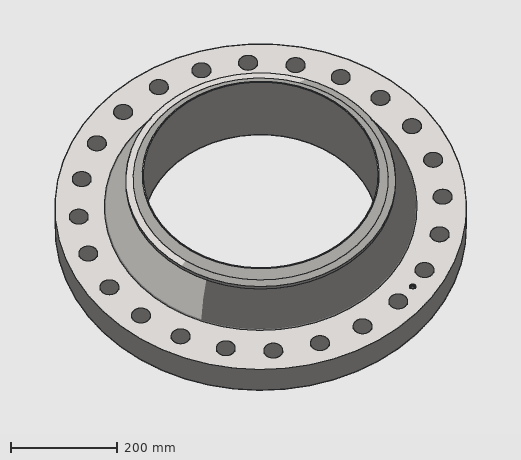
import cadquery as cq
import math

flange_diameter = 774.5
flange_thickness = 64.0
overall_height = 162.0

bore_diameter = 441.5

hub_base_diameter = 588.5
hub_foot_chamfer = 1.5
collar_diameter = 508.0
collar_height = 8.0

land_width = 2.0
bevel_foot_diameter = 480.0
bevel_height = 12.5
shoulder_rise = 2.0

bolt_count = 24
bolt_circle_diameter = 686.0
bolt_hole_diameter = 36.0

step_hole_diameter = 12.0
step_hole_depth = 3.0
pilot_diameter = 6.0
pilot_depth = 23.0

bolt_pitch_angle = 360.0 / bolt_count
bolt_circle_radius = bolt_circle_diameter / 2
bevel_foot_z = overall_height - bevel_height
collar_top_z = bevel_foot_z - shoulder_rise
collar_base_z = collar_top_z - collar_height


def flange_body():
    """Revolve the wall section of the flange, hub and weld bevel around Z."""
    bore_radius = bore_diameter / 2
    flange_radius = flange_diameter / 2
    hub_base_radius = hub_base_diameter / 2
    collar_radius = collar_diameter / 2
    section = [
        (bore_radius, 0),
        (flange_radius, 0),
        (flange_radius, flange_thickness),
        (hub_base_radius, flange_thickness),
        (hub_base_radius - hub_foot_chamfer, flange_thickness + hub_foot_chamfer),
        (collar_radius, collar_base_z),
        (collar_radius, collar_top_z),
        (bevel_foot_diameter / 2, bevel_foot_z),
        (bore_radius + land_width, overall_height),
        (bore_radius, overall_height),
    ]
    return cq.Workplane("XZ").polyline(section).close().revolve(360, (0, 0), (0, 1))


def bolt_holes():
    """Cylinders through the plate, the first one on +X."""
    return (
        cq.Workplane("XY")
        .polarArray(bolt_circle_radius, 0, 360, bolt_count)
        .circle(bolt_hole_diameter / 2)
        .extrude(flange_thickness)
    )


def stepped_hole():
    """Blind hole with a narrower pilot below it, half a bolt pitch from +X."""
    angle = math.radians(bolt_pitch_angle / 2)
    centre = (bolt_circle_radius * math.cos(angle), bolt_circle_radius * math.sin(angle))
    plate_top = cq.Workplane("XY", origin=(*centre, flange_thickness))
    wide_part = plate_top.circle(step_hole_diameter / 2).extrude(-step_hole_depth)
    pilot = plate_top.circle(pilot_diameter / 2).extrude(-pilot_depth)
    return wide_part.union(pilot)


result = flange_body().cut(bolt_holes()).cut(stepped_hole())